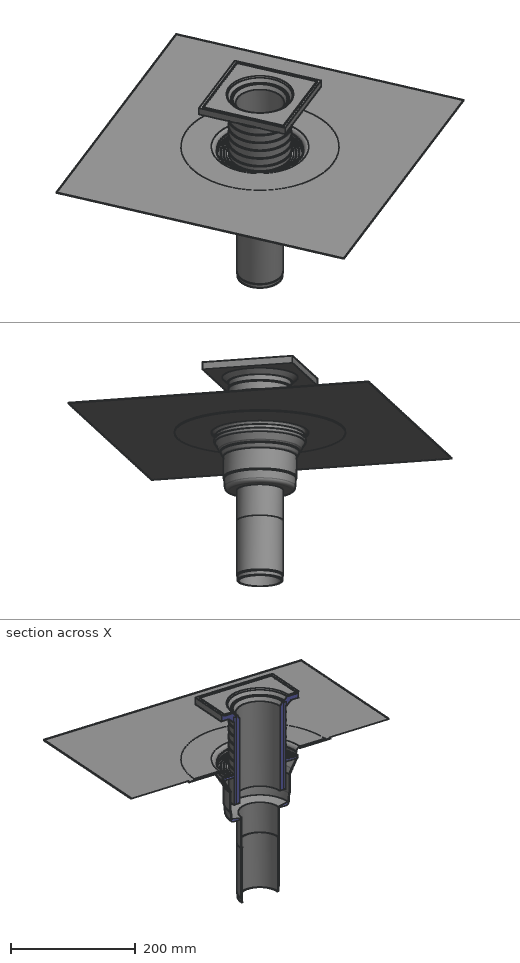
import cadquery as cq
import math


top_z = 99.5
bottom_z = -250.0
joint_z = -151.0
pot_bottom_z = -100.0

membrane_side = 500.0
membrane_t = 1.5
lip_bore_r = 70.0
lip_r = lip_bore_r + membrane_t
bend_edge_r = 156.5 / 2
lip_bend_r = bend_edge_r - lip_r
lip_end_z = -membrane_t - lip_bend_r

flange_r = 137.5
flange_pad_r = 127.0
flange_pad_h = 1.0
flange_bottom_z = -4.5

frame_side = 150.0
frame_h = 12.0
cover_side = 139.0
cover_gap = 1.0
cover_t = 2.5
mouth_top_r = 54.0
mouth_bottom_r = 47.0
mouth_h = 8.5
collar_top_r = 61.0
collar_bottom_r = 52.0
collar_h = 8.0
frame_bottom_z = top_z - frame_h
collar_bottom_z = frame_bottom_z - collar_h
cover_bottom_z = top_z - cover_t
mouth_bottom_z = top_z - mouth_h

riser_r = 50.5
rib_r = 51.0
rib_h = 2.0
rib_pitch = 15.0
rib_count = 6
first_rib_z = 68.5
riser_bore_r = 46.0
riser_bottom_z = -70.0

funnel_mouth_r = 43.5
funnel_bore_r = 39.0
funnel_top_z = 90.0
funnel_throat_z = 83.0

rim_bead_r = 74.0
rim_bead_top_z = -14.5
rim_bead_h = 6.5
rim_bead_round_r = 1.75
shoulder_r = 72.5
shoulder_low_r = 66.5
shoulder_low_z = -32.0
waist_r = 63.5
waist_top_z = -35.0
waist_bottom_z = -37.0
hip_r = 60.5
hip_z = -42.5
body_top_z = -44.5
body_bottom_z = -78.5
foot_top_r = 58.0
foot_top_z = -80.5
pot_r = 59.0
pot_foot_r = 57.0
pot_foot_round_r = 6.5
pot_wall = 3.0

seal_top_z = -14.5
seal_bottom_z = -21.0
seal_groove_r = 1.75
seal_groove_rings = (56.0, 61.0, 66.0)

pipe_r = 37.5
spigot_bore_r = 35.0
pipe_bore_r = 34.0
pipe_end_r = 36.5
pipe_end_z = -240.5
pipe_end_slope_h = 2.0
pipe_edge = 1.0


def revolved(profile):
    """Turn a closed half-section, drawn as (radius, z), about the drain axis."""
    return profile.close().revolve(360, (0, 0, 0), (0, 1, 0))


def ring(outer_r, inner_r, low_z, high_z):
    """Plain ring between two levels."""
    return cq.Workplane("XY", origin=(0, 0, low_z)).circle(outer_r).circle(inner_r).extrude(high_z - low_z)


def cone(low_r, high_r, low_z, high_z):
    """Solid cone frustum on the drain axis."""
    half_section = cq.Workplane("XZ").moveTo(0, low_z).lineTo(low_r, low_z).lineTo(high_r, high_z)
    return revolved(half_section.lineTo(0, high_z))


def square_block(side, low_z, high_z):
    """Square slab centred on the drain axis."""
    return cq.Workplane("XY", origin=(0, 0, low_z)).rect(side, side).extrude(high_z - low_z)


def make_membrane():
    """Square sheet whose centre bends down into a short round lip."""
    diagonal = math.sqrt(0.5)
    top_bend_r = lip_bend_r + membrane_t
    top_mid = (bend_edge_r - top_bend_r * diagonal, lip_end_z + top_bend_r * diagonal)
    under_mid = (bend_edge_r - lip_bend_r * diagonal, lip_end_z + lip_bend_r * diagonal)
    lip = revolved(
        cq.Workplane("XZ")
        .moveTo(bend_edge_r, 0)
        .threePointArc(top_mid, (lip_bore_r, lip_end_z))
        .lineTo(lip_r, lip_end_z)
        .threePointArc(under_mid, (bend_edge_r, -membrane_t))
    )
    sheet = square_block(membrane_side, -membrane_t, 0)
    opening = cq.Workplane("XY", origin=(0, 0, -membrane_t)).circle(bend_edge_r).extrude(membrane_t)
    return sheet.cut(opening).union(lip)


def make_flange():
    """Backing flange with a slightly smaller raised pad that carries the membrane."""
    pad_bottom_z = -membrane_t - flange_pad_h
    disc = ring(flange_r, bend_edge_r, flange_bottom_z, pad_bottom_z)
    pad = ring(flange_pad_r, bend_edge_r, pad_bottom_z, -membrane_t)
    return disc.union(pad)


def make_mouth():
    """Conical opening shared by the cover and the frame below it."""
    return cone(mouth_bottom_r, mouth_top_r, mouth_bottom_z, top_z)


def make_frame():
    """Square tray for the cover, with a conical collar that holds the riser."""
    tray = square_block(frame_side, frame_bottom_z, top_z)
    pocket = square_block(cover_side + 2 * cover_gap, cover_bottom_z, top_z)
    collar = cone(collar_bottom_r, collar_top_r, collar_bottom_z, frame_bottom_z)
    socket = cone(riser_r, riser_r, collar_bottom_z, frame_bottom_z)
    throat = cone(riser_bore_r, riser_bore_r, frame_bottom_z, mouth_bottom_z)
    return tray.union(collar).cut(pocket).cut(socket).cut(throat).cut(make_mouth())


def make_cover():
    """Square cover with a conical round opening."""
    return square_block(cover_side, cover_bottom_z, top_z).cut(make_mouth())


def make_riser():
    """Riser tube with evenly spaced low ribs."""
    riser = ring(riser_r, riser_bore_r, riser_bottom_z, frame_bottom_z)
    for i in range(rib_count):
        rib_z = first_rib_z - i * rib_pitch
        riser = riser.union(ring(rib_r, riser_bore_r, rib_z, rib_z + rib_h))
    return riser


def make_funnel():
    """Liner that narrows the riser mouth to the throat."""
    return revolved(
        cq.Workplane("XZ")
        .moveTo(riser_bore_r, funnel_top_z)
        .lineTo(funnel_mouth_r, funnel_top_z)
        .lineTo(funnel_bore_r, funnel_throat_z)
        .lineTo(funnel_bore_r, riser_bottom_z)
        .lineTo(riser_bore_r, riser_bottom_z)
    )


def make_pot():
    """Stepped pot with a beaded rim, open at the top, ending in the outlet spigot."""
    outer = revolved(
        cq.Workplane("XZ")
        .moveTo(0, lip_end_z)
        .lineTo(lip_r, lip_end_z)
        .lineTo(lip_r, rim_bead_top_z)
        .lineTo(shoulder_r, rim_bead_top_z - rim_bead_h)
        .lineTo(shoulder_low_r, shoulder_low_z)
        .lineTo(waist_r, waist_top_z)
        .lineTo(waist_r, waist_bottom_z)
        .lineTo(hip_r, hip_z)
        .lineTo(pot_r, body_top_z)
        .lineTo(pot_r, body_bottom_z)
        .lineTo(foot_top_r, foot_top_z)
        .lineTo(pot_foot_r, pot_bottom_z + pot_foot_round_r)
        .radiusArc((pot_foot_r - pot_foot_round_r, pot_bottom_z), pot_foot_round_r)
        .lineTo(pipe_r, pot_bottom_z)
        .lineTo(pipe_r, joint_z)
        .lineTo(0, joint_z)
    )
    bead = ring(rim_bead_r, lip_bore_r, rim_bead_top_z - rim_bead_h, rim_bead_top_z)
    outer_edges = bead.edges(cq.selectors.RadiusNthSelector(-1))
    bead = outer_edges.fillet(rim_bead_round_r)
    cavity = revolved(
        cq.Workplane("XZ")
        .moveTo(0, lip_end_z)
        .lineTo(lip_bore_r, lip_end_z)
        .lineTo(lip_bore_r, seal_bottom_z)
        .lineTo(waist_r - pot_wall, waist_top_z)
        .lineTo(pot_r - pot_wall, body_top_z)
        .lineTo(pot_r - pot_wall, body_bottom_z)
        .lineTo(pot_foot_r - pot_wall, pot_bottom_z + pot_foot_round_r)
        .lineTo(spigot_bore_r, pot_bottom_z + pot_wall)
        .lineTo(spigot_bore_r, joint_z)
        .lineTo(0, joint_z)
    )
    return outer.union(bead).cut(cavity)


def make_seal():
    """Flat seal ring with round grooves in its upper face."""
    seal = ring(lip_bore_r, riser_r, seal_bottom_z, seal_top_z)
    for groove_ring_r in seal_groove_rings:
        groove = cq.Solid.makeTorus(groove_ring_r, seal_groove_r, cq.Vector(0, 0, seal_top_z))
        seal = seal.cut(cq.Workplane(groove))
    return seal


def make_pipe():
    """Outlet pipe with a reduced, edge-broken lower end."""
    return revolved(
        cq.Workplane("XZ")
        .moveTo(pipe_bore_r, joint_z)
        .lineTo(pipe_r, joint_z)
        .lineTo(pipe_r, pipe_end_z)
        .lineTo(pipe_end_r, pipe_end_z - pipe_end_slope_h)
        .lineTo(pipe_end_r, bottom_z + pipe_edge)
        .lineTo(pipe_end_r - pipe_edge, bottom_z)
        .lineTo(pipe_bore_r, bottom_z)
    )


membrane = make_membrane()
flange = make_flange()
frame = make_frame()
cover = make_cover()
riser = make_riser()
funnel = make_funnel()
pot = make_pot()
seal = make_seal()
pipe = make_pipe()

result = cq.Compound.makeCompound(
    [body.solids().val() for body in (membrane, flange, frame, cover, riser, funnel, pot, seal, pipe)]
)